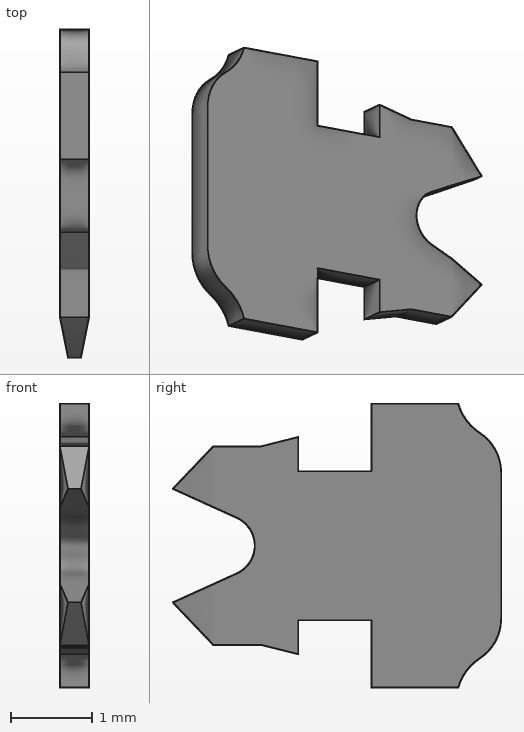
import cadquery as cq
import math

thickness = 0.36
length = 4.05
half_height = 3.5 / 2

tail_y = length / 2
tip_y = -length / 2
shoulder_y = tail_y - 1.6
barb_y = tail_y - 2.5
barb_slope_end_y = tail_y - 2.96
taper_length = 0.5
taper_y = tip_y + taper_length

neck_half_height = 0.92
barb_half_height = 1.34
prong_half_height = 1.225
tip_half_height = 0.70

tail_flat_half_height = 0.90
corner_joint_depth = 0.265
corner_joint_half_height = 1.39
corner_depth = 0.53

mouth_bottom_y = tail_y - 3.04
mouth_radius = 0.375

tip_thickness = 0.16

mouth_center_y = mouth_bottom_y - mouth_radius
tip_distance = math.hypot(mouth_center_y - tip_y, tip_half_height)
tip_direction = math.atan2(tip_half_height, tip_y - mouth_center_y)
tangent_angle = tip_direction - math.acos(mouth_radius / tip_distance)
mouth_tangent_y = mouth_center_y + mouth_radius * math.cos(tangent_angle)
mouth_tangent_z = mouth_radius * math.sin(tangent_angle)


def half_plate():
    """Upper half of the plate, bounded below by the mid plane Z = 0."""
    mid_angle = tangent_angle / 2
    mouth_mid = (
        mouth_center_y + mouth_radius * math.cos(mid_angle),
        mouth_radius * math.sin(mid_angle),
    )
    outline = (
        cq.Workplane("YZ")
        .moveTo(mouth_bottom_y, 0)
        .lineTo(tail_y, 0)
        .lineTo(tail_y, tail_flat_half_height)
        .tangentArcPoint((tail_y - corner_joint_depth, corner_joint_half_height), relative=False)
        .tangentArcPoint((tail_y - corner_depth, half_height), relative=False)
        .lineTo(shoulder_y, half_height)
        .lineTo(shoulder_y, neck_half_height)
        .lineTo(barb_y, neck_half_height)
        .lineTo(barb_y, barb_half_height)
        .lineTo(barb_slope_end_y, prong_half_height)
        .lineTo(taper_y, prong_half_height)
        .lineTo(tip_y, tip_half_height)
        .lineTo(mouth_tangent_y, mouth_tangent_z)
        .threePointArc(mouth_mid, (mouth_bottom_y, 0))
        .close()
    )
    return outline.extrude(thickness / 2, both=True)


def taper_envelope():
    """Full-height prism whose plan narrows toward the prong tips."""
    plan = [
        (-thickness / 2, tail_y),
        (-thickness / 2, taper_y),
        (-tip_thickness / 2, tip_y),
        (tip_thickness / 2, tip_y),
        (thickness / 2, taper_y),
        (thickness / 2, tail_y),
    ]
    return cq.Workplane("XY").polyline(plan).close().extrude(half_height, both=True)


upper_half = half_plate()
plate = upper_half.union(upper_half.mirror("XY")).clean()
result = plate.intersect(taper_envelope())